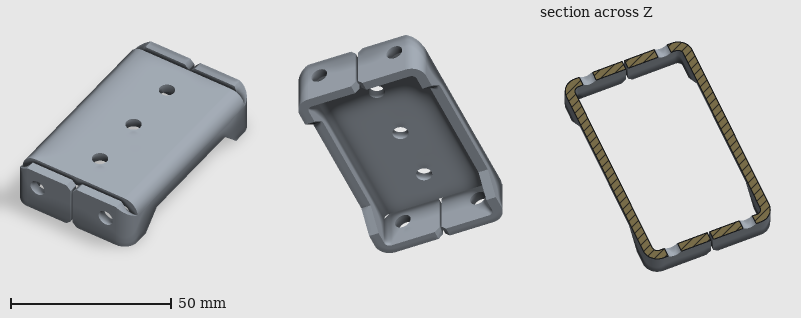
import cadquery as cq
import math

width = 42.85
length = 70.6
height = 15.9

sheet = 3.2
bend_outer = 4.9
bend_inner = bend_outer - sheet
plate_length = length - 2 * bend_outer
bend_top = height - bend_outer
bend_x = width / 2 - bend_outer
bend_y = plate_length / 2

opening_height = 6.4
opening_bottom_setback = 9.5
opening_top_setback = 15.9

flange_gap = 0.7
flange_chamfer = 1.55
flange_hole_diameter = 5.3
flange_hole_x = 12.7
flange_hole_z = 9.45

plate_hole_diameter = 5.1
plate_hole_pitch = 19.1


def make_channel():
    """Top plate with two bent side walls, open underneath."""
    outer = (
        cq.Workplane("XY")
        .box(width, plate_length, height, centered=(True, True, False))
        .edges("|Y and >Z")
        .fillet(bend_outer)
    )
    inner = (
        cq.Workplane("XY")
        .box(width - 2 * sheet, plate_length, height - sheet, centered=(True, True, False))
        .edges("|Y and >Z")
        .fillet(bend_inner)
    )
    return outer.cut(inner)


def make_side_opening():
    """Trapezoid that raises the lower edge of both side walls."""
    bottom_y = length / 2 - opening_bottom_setback
    top_y = length / 2 - opening_top_setback
    return (
        cq.Workplane("YZ")
        .polyline([(-bottom_y, 0), (bottom_y, 0), (top_y, opening_height), (-top_y, opening_height)])
        .close()
        .extrude(width / 2, both=True)
    )


def make_corner():
    """Quarter bend at +X +Y whose top edge climbs as a helix from side wall to flange."""
    rise = height - bend_top

    def rim(radius):
        return cq.Wire.makeHelix(4 * rise, rise, radius, cq.Vector(0, 0, bend_top)).Edges()[0]

    def foot(radius):
        return cq.Edge.makeCircle(radius, angle1=0, angle2=90)

    def end_face(angle, top):
        c = math.cos(angle)
        s = math.sin(angle)
        corners = [
            cq.Vector(radius * c, radius * s, z)
            for radius, z in [(bend_inner, 0), (bend_outer, 0), (bend_outer, top), (bend_inner, top)]
        ]
        return cq.Face.makeFromWires(cq.Wire.makePolygon(corners, close=True))

    faces = [
        cq.Face.makeRuledSurface(rim(bend_inner), rim(bend_outer)),
        cq.Face.makeRuledSurface(foot(bend_inner), foot(bend_outer)),
        cq.Face.makeRuledSurface(foot(bend_inner), rim(bend_inner)),
        cq.Face.makeRuledSurface(foot(bend_outer), rim(bend_outer)),
        end_face(0, bend_top),
        end_face(math.pi / 2, height),
    ]
    corner = cq.Solid.makeSolid(cq.Shell.makeShell(faces)).fix()
    return cq.Workplane(corner.translate(cq.Vector(bend_x, bend_y, 0)))


def make_flange():
    """Half of the +Y end, with its free vertical edge chamfered top and bottom."""
    flange_width = bend_x - flange_gap / 2
    return (
        cq.Workplane("XY")
        .box(flange_width, sheet, height, centered=False)
        .edges("|Y and <X")
        .chamfer(flange_chamfer)
        .translate((flange_gap / 2, length / 2 - sheet, 0))
    )


def make_holes():
    """Cutters for the plate holes and for the flange holes in both ends."""
    plate_holes = (
        cq.Workplane("XY")
        .rarray(0.7, plate_hole_pitch, 1, 3)
        .circle(plate_hole_diameter / 2)
        .extrude(height)
    )
    flange_holes = (
        cq.Workplane("XZ")
        .pushPoints([(-flange_hole_x, flange_hole_z), (flange_hole_x, flange_hole_z)])
        .circle(flange_hole_diameter / 2)
        .extrude(length / 2, both=True)
    )
    return plate_holes.union(flange_holes)


body = make_channel().cut(make_side_opening())
corner_quarter = make_corner().union(make_flange())
end = corner_quarter.union(corner_quarter.mirror("YZ"))
body = body.union(end).union(end.mirror("XZ"))

result = body.cut(make_holes())